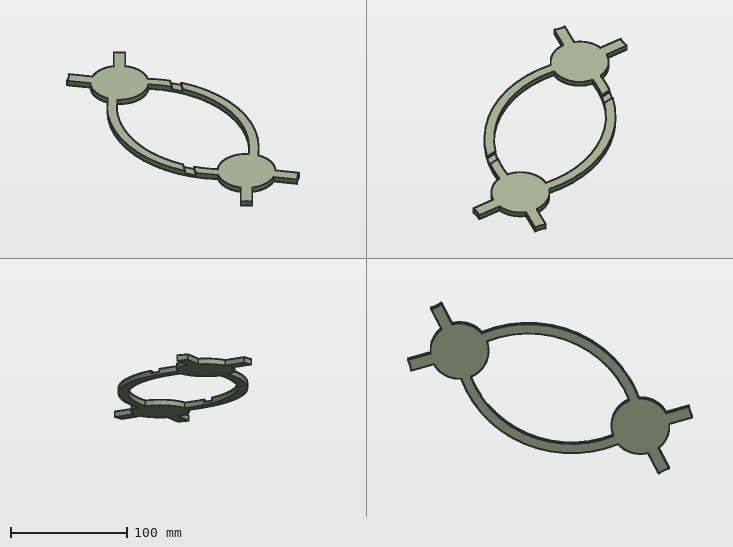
import cadquery as cq
import math

overall_length = 245.6
overall_width = 108.8
thickness = 5.0
disc_radius = 25.0
disc_offset = 85.0
band_width = 8.4
arm_width = 10.0
arm_angle = 40.0
arm_end_radius = disc_radius
groove_width = 8.5
groove_depth = thickness / 2
groove_length = 19.7
groove_angle = -30.0
groove_x = 50.5
groove_y = -35.4

arm_tilt = math.radians(arm_angle)
tip_offset = overall_length / 2 - disc_offset
arm_corner_reach = (tip_offset - arm_width / 2 * math.sin(arm_tilt)) / math.cos(arm_tilt)

band_crown = (overall_width - band_width) / 2
band_radius = (disc_offset**2 + band_crown**2) / (2 * band_crown)
band_center_y = band_crown - band_radius


def disc(side):
    """Round plate at the left (-1) or right (+1) end."""
    return cq.Workplane("XY").center(side * disc_offset, 0).circle(disc_radius).extrude(thickness)


def band(side):
    """Curved band joining the disc centres, above (+1) or below (-1) the X axis."""
    half_angle = math.asin(disc_offset / band_radius)

    def point(radius, angle):
        return (radius * math.sin(angle), side * (band_center_y + radius * math.cos(angle)))

    outer = band_radius + band_width / 2
    inner = band_radius - band_width / 2
    return (
        cq.Workplane("XY")
        .moveTo(*point(outer, -half_angle))
        .threePointArc(point(outer, 0), point(outer, half_angle))
        .lineTo(*point(inner, half_angle))
        .threePointArc(point(inner, 0), point(inner, -half_angle))
        .close()
        .extrude(thickness)
    )


def arm(side, direction):
    """Straight arm with a hollow end, pointing out from a disc centre."""
    half_width = arm_width / 2
    hollow = arm_end_radius - math.sqrt(arm_end_radius**2 - half_width**2)
    return (
        cq.Workplane("XY")
        .moveTo(0, -half_width)
        .lineTo(arm_corner_reach, -half_width)
        .threePointArc((arm_corner_reach - hollow, 0), (arm_corner_reach, half_width))
        .lineTo(0, half_width)
        .close()
        .extrude(thickness)
        .rotate((0, 0, 0), (0, 0, 1), direction)
        .translate((side * disc_offset, 0, 0))
    )


def groove(side):
    """Half-depth crossing groove, on the lower right (+1) or upper left (-1) of the bands."""
    return (
        cq.Workplane("XY")
        .box(groove_length, groove_width, groove_depth, centered=(True, True, False))
        .rotate((0, 0, 0), (0, 0, 1), groove_angle)
        .translate((side * groove_x, side * groove_y, thickness - groove_depth))
    )


result = disc(-1).union(disc(1))
for side in (-1, 1):
    outward = 0 if side > 0 else 180
    result = result.union(band(side))
    for turn in (-arm_angle, arm_angle):
        result = result.union(arm(side, outward + turn))

for side in (-1, 1):
    result = result.cut(groove(side))